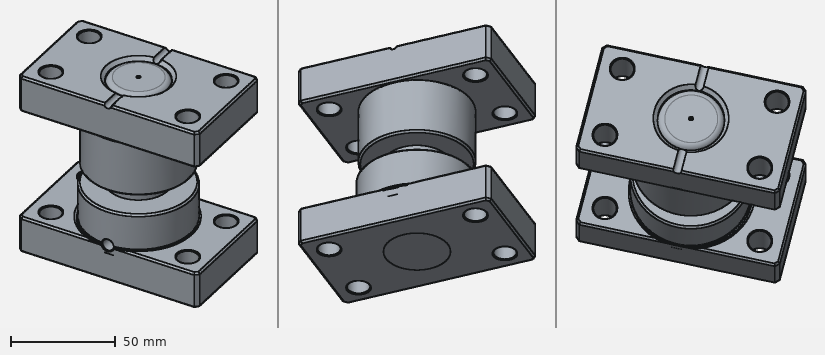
import cadquery as cq

plate_length = 100.0
plate_width = 58.0
plate_height = 20
corner_chamfer = 2
edge_chamfer = 1
screw_spacing_x = 76.0
screw_spacing_y = 36.0
screw_diameter = 11
screw_chamfer = 0.5

total_height = 100.2
post_diameter = 32.1
post_recess = 0.3
post_rounding = 3.4
flange_diameter = plate_width
flange_height = 19.9
foot_diameter = 57.1
foot_depth = 5
center_hole_diameter = 1
center_hole_depth = 3
center_cone_diameter = 2

sleeve_diameter = 56.1
sleeve_length = 29.6
relief_height = 0.4
relief_diameter = 54.1
mouth_chamfer = 2
groove_diameter = 4

seat_diameter = 58.3
seat_depth = 1.2
seat_offset = -0.5

port_diameter = 6.2
port_chamfer = 0.4
port_depth = 13

upper_plate_bottom = total_height - plate_height
post_top = total_height - post_recess
foot_bottom = plate_height - foot_depth
front_face = -plate_width / 2


def disc(diameter, bottom, height):
    """Vertical cylinder on the Z axis."""
    return cq.Workplane("XY").workplane(offset=bottom).circle(diameter / 2).extrude(height)


def widening_cone(bottom_diameter, top, height):
    """Frustum on the Z axis that widens upward at 45 degrees and ends at the height `top`."""
    return (
        cq.Workplane("XY").workplane(offset=top - height).circle(bottom_diameter / 2)
        .workplane(offset=height).circle(bottom_diameter / 2 + height).loft()
    )


def rod_along_y(diameter, z, start, length):
    """Cylinder parallel to Y, from y = start in the +Y direction."""
    return cq.Workplane("XZ", origin=(0, start, z)).circle(diameter / 2).extrude(-length)


def make_plate(bottom):
    """Chamfered plate with four screw holes chamfered at both ends."""
    plate = (
        cq.Workplane("XY").workplane(offset=bottom)
        .rect(plate_length, plate_width).extrude(plate_height)
        .edges("|Z").chamfer(corner_chamfer)
        .faces("<Z or >Z").edges().chamfer(edge_chamfer)
    )
    screw_holes = (
        cq.Workplane("XY").workplane(offset=bottom)
        .rect(screw_spacing_x, screw_spacing_y, forConstruction=True).vertices()
        .circle(screw_diameter / 2).extrude(plate_height)
    )
    return plate.cut(screw_holes).edges("%CIRCLE").chamfer(screw_chamfer)


def make_port():
    """Port bored from the front face, with a chamfered mouth."""
    port = rod_along_y(port_diameter, plate_height, front_face, port_depth)
    mouth = (
        cq.Workplane("XZ", origin=(0, front_face, plate_height))
        .circle(port_diameter / 2 + port_chamfer)
        .workplane(offset=-port_chamfer).circle(port_diameter / 2).loft()
    )
    return port.union(mouth)


def make_upper_housing():
    """Upper plate with its guide sleeve, bored for the post and grooved across its top."""
    sleeve_top = upper_plate_bottom - relief_height
    sleeve = disc(sleeve_diameter, sleeve_top - sleeve_length, sleeve_length)
    sleeve = sleeve.faces("<Z").edges().chamfer(edge_chamfer)
    neck = disc(relief_diameter, sleeve_top, relief_height)
    housing = make_plate(upper_plate_bottom).union(neck).union(sleeve)
    bore = disc(post_diameter, 0, total_height)
    mouth = widening_cone(post_diameter, total_height, mouth_chamfer)
    groove = rod_along_y(groove_diameter, total_height, front_face, plate_width)
    return housing.cut(bore).cut(mouth).cut(groove)


def make_lower_plate():
    """Lower plate with the bore for the post and the flared seat for its flange."""
    bore = disc(post_diameter, 0, plate_height)
    socket = disc(foot_diameter, foot_bottom, foot_depth)
    seat = widening_cone(seat_diameter, plate_height, seat_depth).translate((seat_offset, 0, 0))
    return make_plate(0).cut(bore).cut(socket).cut(seat).cut(make_port())


def make_post():
    """Flanged guide post with a rounded top end and a small center hole."""
    shaft = disc(post_diameter, 0, post_top).faces(">Z").edges().fillet(post_rounding)
    flange = disc(flange_diameter, plate_height, flange_height)
    flange = flange.faces(">Z").edges().chamfer(edge_chamfer)
    foot = disc(foot_diameter, foot_bottom, foot_depth)
    cone_depth = (center_cone_diameter - center_hole_diameter) / 2
    center_hole = disc(center_hole_diameter, post_top - center_hole_depth, center_hole_depth)
    center_cone = widening_cone(center_hole_diameter, post_top, cone_depth)
    post = shaft.union(flange).union(foot)
    return post.cut(center_hole).cut(center_cone).cut(make_port())


upper_housing = make_upper_housing()
lower_plate = make_lower_plate()
post = make_post()

result = cq.Compound.makeCompound([upper_housing.val(), lower_plate.val(), post.val()])